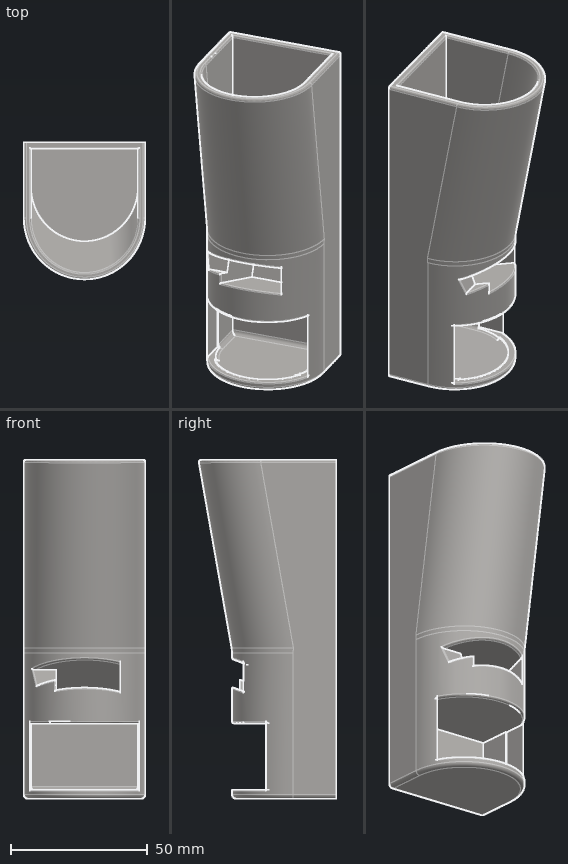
import cadquery as cq
import math

width = 44.45
radius = width / 2
lower_depth = 38.1
height = 123.83
tilt = math.radians(10)
bend_z = 54.1
band_bottom = 53.4
band_top = 55.2

side_wall = 2.7
back_wall = 2.54
floor_thickness = 3.0
bottom_round = 1.6
floor_round = 1.6
rim_round = 0.9
mouth_round = 0.635
upper_edge_round = 0.9
lower_edge_round = 0.4

cup_floor_z = 59.0

window_width = 39.9
window_bottom = 3.4
window_top = 27.5

slot_tilt = 20
slot_ceiling_front_z = 51.0
slot_right = 13.0
slot_step_x = -10.4
slot_height = 9.55
notch_height = 6.0
notch_back_y = -27.3
slot_end_y = -2.8

surface_tolerance = 0.001

lower_axis_y = radius - lower_depth
lean_depth = radius / math.cos(tilt)
bend_axis_y = lean_depth - lower_depth
inner_radius = radius - side_wall
inner_lean_depth = inner_radius / math.cos(tilt)


def lean_axis_y(z):
    """Y of the leaning cylinder's axis at height z."""
    return bend_axis_y - (z - bend_z) * math.tan(tilt)


def d_sides(z, axis_y, half_width, back_y):
    """Flat back and straight sides of a D outline at height z, ending where the front curve starts."""
    return (
        cq.Workplane("XY", origin=(0, 0, z))
        .moveTo(half_width, axis_y)
        .lineTo(half_width, back_y)
        .lineTo(-half_width, back_y)
        .lineTo(-half_width, axis_y)
    )


def d_outline(z, axis_y, half_width, half_depth, back_y):
    """D outline with a half-ellipse front."""
    sides = d_sides(z, axis_y, half_width, back_y)
    return sides.ellipseArc(half_width, half_depth, 180, 360, startAtCurrent=True, sense=1).wire()


def d_prism(z0, z1, axis_y, half_width, back_y):
    """Upright D-shaped prism with a half-cylinder front."""
    sides = d_sides(z0, axis_y, half_width, back_y)
    front = sides.threePointArc((0, axis_y - half_width), (half_width, axis_y))
    return front.close().extrude(z1 - z0)


def leaning_prism(z0, z1, half_width, half_depth, back_y):
    """D-shaped prism with an upright back and a leaning half-cylinder front."""
    bottom = d_outline(z0, lean_axis_y(z0), half_width, half_depth, back_y).val()
    top = d_outline(z1, lean_axis_y(z1), half_width, half_depth, back_y).val()
    return cq.Workplane(cq.Solid.makeLoft([bottom, top], True))


def bend_band():
    """Short ruled band easing the upright front into the leaning one."""
    bottom = d_outline(band_bottom, lower_axis_y, radius, radius, 0).val()
    top = d_outline(band_top, lean_axis_y(band_top), radius, lean_depth, 0).val()
    return cq.Workplane(cq.Solid.makeLoft([bottom, top], True))


def outer_body():
    """Solid outside shape with the bottom and the rim rounded everywhere but the back."""
    lower = d_prism(0, band_bottom, lower_axis_y, radius, 0)
    lower = lower.faces("<Z").edges("not(>Y)").fillet(bottom_round)
    upper = leaning_prism(band_top, height, radius, lean_depth, 0)
    upper = upper.faces(">Z").edges("not(>Y)").fillet(rim_round)
    return lower.union(bend_band()).union(upper)


def cup():
    """Open cup in the leaning upper part."""
    return leaning_prism(cup_floor_z, height, inner_radius, inner_lean_depth, -back_wall)


def compartment():
    """Lower chamber with a rounded floor."""
    chamber = d_prism(floor_thickness, window_top, lower_axis_y, inner_radius, -back_wall)
    return chamber.faces("<Z").edges().fillet(floor_round)


def window():
    """Opening through the whole curved front, a little wider than the compartment."""
    blank = cq.Workplane("XY").box(
        window_width, 2 * radius, window_top - window_bottom, centered=(True, False, False)
    )
    return blank.translate((0, lower_axis_y - 2 * radius, window_bottom))


def floor_clearing():
    """Carries the flat floor out to the wall behind the window sill, where the floor round stops."""
    window_side_y = lower_axis_y - math.sqrt(radius ** 2 - (window_width / 2) ** 2)
    front = cq.Workplane("XY").box(width, width, height, centered=(True, False, False))
    front = front.translate((0, window_side_y - width, 0))
    floor_layer = d_prism(floor_thickness, window_bottom, lower_axis_y, inner_radius, -back_wall)
    return floor_layer.intersect(front)


def slot_box(x0, x1, end_y, box_height):
    """Box below the sloped slot ceiling, from its inner end out through the front."""
    end_z = slot_ceiling_front_z - (end_y + lower_depth) * math.tan(math.radians(slot_tilt))
    length = 2 * lower_depth
    return (
        cq.Workplane("XY")
        .box(x1 - x0, length, box_height, centered=False)
        .translate((x0, -length, -box_height))
        .rotate((0, 0, 0), (1, 0, 0), -slot_tilt)
        .translate((0, end_y, end_z))
    )


def slot():
    """Deep main slot with a shallower, less tall notch opening off its left side."""
    main = slot_box(slot_step_x, slot_right, slot_end_y, slot_height)
    notch = slot_box(-width, slot_step_x, notch_back_y, notch_height)
    return main.union(notch)


def on_front(edge):
    """True for edges that lie on the upright curved front."""
    points = [edge.positionAt(t) for t in (0, 0.5, 1)]
    return all(
        p.y < lower_axis_y and abs(math.hypot(p.x, p.y - lower_axis_y) - radius) < surface_tolerance
        for p in points
    )


def window_edge(edge, z):
    """True for the window's front edge at height z."""
    return on_front(edge) and all(abs(edge.positionAt(t).z - z) < surface_tolerance for t in (0, 1))


def slot_edge(edge):
    """True for the slot's front edges."""
    middle = edge.positionAt(0.5)
    return on_front(edge) and window_top + upper_edge_round < middle.z < band_bottom - surface_tolerance


def slot_ceiling_edge(edge):
    """True for the one front edge that spans both the notch and the main slot."""
    ends_x = [edge.positionAt(t).x for t in (0, 1)]
    reaches_notch = min(ends_x) < slot_step_x - 2 * lower_edge_round
    reaches_right = max(ends_x) > slot_right - surface_tolerance
    return slot_edge(edge) and reaches_notch and reaches_right


def slot_lower_edge(edge):
    """True for the slot's front edges other than its ceiling and its plain right end."""
    left_of_end = edge.positionAt(0.5).x < slot_right - surface_tolerance
    return slot_edge(edge) and left_of_end and not slot_ceiling_edge(edge)


def cup_mouth_edge(edge):
    """True for the inner edges of the top rim."""
    middle = edge.positionAt(0.5)
    at_top = abs(middle.z - height) < surface_tolerance
    inside = (
        abs(middle.x) < inner_radius + surface_tolerance
        and lean_axis_y(height) - inner_lean_depth - surface_tolerance < middle.y < -surface_tolerance
    )
    return at_top and inside


body = outer_body()
body = body.cut(cup()).cut(compartment()).cut(window()).cut(floor_clearing()).cut(slot())
body = body.edges().filter(lambda edge: window_edge(edge, window_top)).fillet(upper_edge_round)
body = body.edges().filter(lambda edge: window_edge(edge, window_bottom)).fillet(lower_edge_round)
body = body.edges().filter(slot_ceiling_edge).fillet(upper_edge_round)
body = body.edges().filter(slot_lower_edge).fillet(lower_edge_round)
result = body.edges().filter(cup_mouth_edge).fillet(mouth_round)